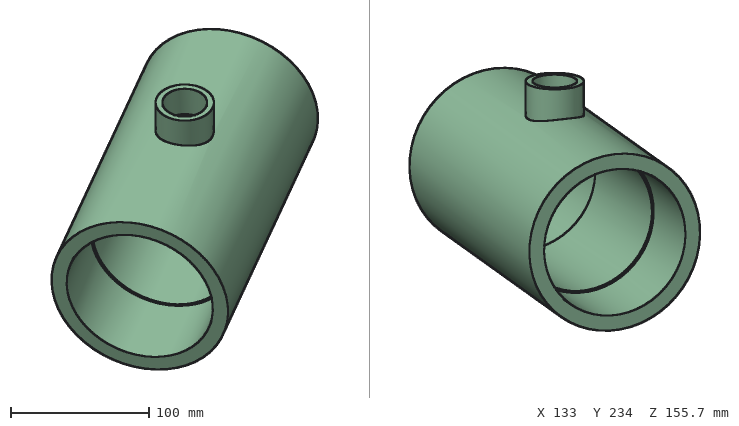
import cadquery as cq

pipe_length = 234.0
pipe_diameter = 133.0
bore_diameter = 107.2
socket_diameter = 110.0
socket_depth = 61.8

branch_diameter = 42.1
branch_bore_diameter = 28.0
branch_socket_diameter = 32.3
branch_socket_depth = 23.5
branch_rise = 22.7

branch_top = pipe_diameter / 2 + branch_rise


def cylinder_along_y(diameter, start, length):
    """Cylinder on the pipe axis, running from start towards +Y."""
    axis = cq.Vector(0, 1, 0)
    return cq.Workplane(cq.Solid.makeCylinder(diameter / 2, length, cq.Vector(0, start, 0), axis))


def cylinder_below_branch_top(diameter, depth):
    """Cylinder on the branch axis, running down from the branch mouth."""
    return cq.Workplane("XY", origin=(0, 0, branch_top)).circle(diameter / 2).extrude(-depth)


pipe = cylinder_along_y(pipe_diameter, -pipe_length / 2, pipe_length)
branch = cylinder_below_branch_top(branch_diameter, branch_top)
result = pipe.union(branch)

result = result.cut(cylinder_along_y(bore_diameter, -pipe_length / 2, pipe_length))
for socket_start in (-pipe_length / 2, pipe_length / 2 - socket_depth):
    result = result.cut(cylinder_along_y(socket_diameter, socket_start, socket_depth))

result = result.cut(cylinder_below_branch_top(branch_bore_diameter, branch_top))
result = result.cut(cylinder_below_branch_top(branch_socket_diameter, branch_socket_depth))